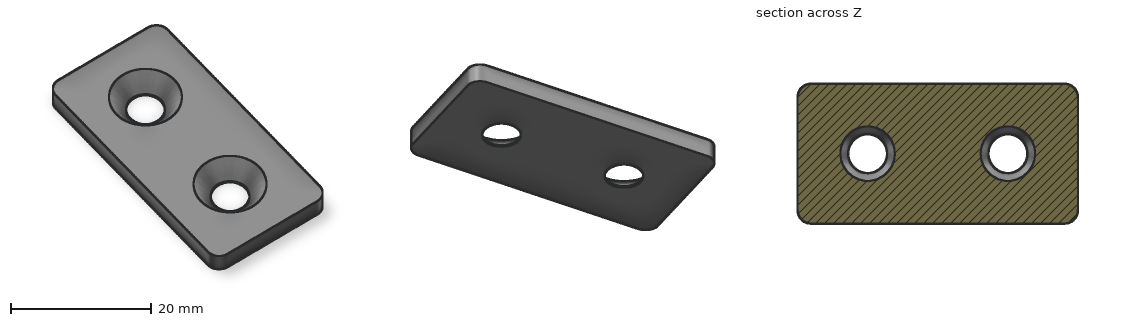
import cadquery as cq
import math

length = 40.0
width = length / 2
thickness = 3.0
corner_radius = 2.0

hole_spacing = length / 2
hole_diameter = 5.5
countersink_diameter = 10.4
land_height = 0.3
countersink_depth = thickness - land_height
countersink_run = (countersink_diameter - hole_diameter) / 2
countersink_angle = 2 * math.degrees(math.atan2(countersink_run, countersink_depth))

plate = (
    cq.Workplane("XY")
    .box(length, width, thickness, centered=(True, True, False))
    .edges("|Z")
    .fillet(corner_radius)
)

result = (
    plate.faces(">Z")
    .workplane()
    .rarray(hole_spacing, 0.4, 2, 1)
    .cskHole(hole_diameter, countersink_diameter, countersink_angle)
)